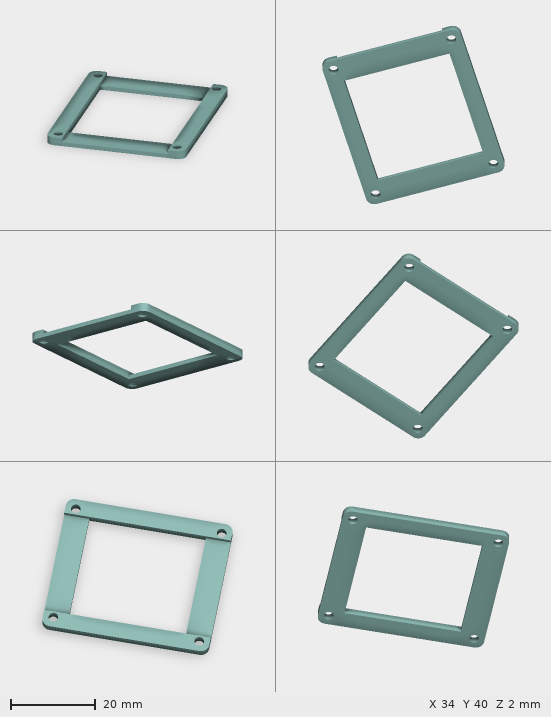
import cadquery as cq

width = 34.0
length = 40.0
height = 2.0
corner_radius = 2.0

rail_width = 4.0
bar_width = 6.0
bar_thickness = 1.0

hole_diameter = 2.3
hole_spacing_x = 29.0
hole_spacing_y = 35.0

inner_width = width - 2 * rail_width
inner_length = length - 2 * bar_width


def rounded_plate():
    plate = cq.Workplane("XY").rect(width, length).extrude(height)
    return plate.edges("|Z").fillet(corner_radius)


def window():
    """Through opening between the rails and the cross bars."""
    return cq.Workplane("XY").rect(inner_width, inner_length).extrude(height)


def channel():
    """Full-length recess that leaves the cross bars below the rail tops."""
    floor = cq.Workplane("XY").workplane(offset=bar_thickness)
    return floor.rect(inner_width, length).extrude(height - bar_thickness)


def mounting_holes():
    corners = cq.Workplane("XY").rect(hole_spacing_x, hole_spacing_y, forConstruction=True).vertices()
    return corners.circle(hole_diameter / 2).extrude(height)


result = rounded_plate().cut(window()).cut(channel()).cut(mounting_holes())